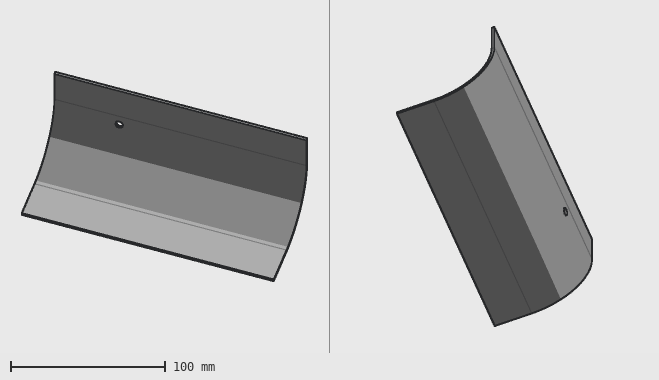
import cadquery as cq
import math

length = 171.93
side = 67.79
half_side = side / 2
left_end_x = -length / 2

thickness = 2.0
inner_radius = 40.0
outer_radius = inner_radius + thickness
flange_width = side - outer_radius

bend_axis_y = half_side - outer_radius
bend_axis_z = -half_side + outer_radius

bend_start = 0
bend_middle = 45
bend_end = 90

hole_diameter = 5.0
hole_from_left_end = 44.5
hole_angle = 11.2


def bend_point(radius, angle):
    """Point (y, z) on the bend at a given radius and bend angle."""
    turn = math.radians(angle)
    return (bend_axis_y + radius * math.cos(turn), bend_axis_z - radius * math.sin(turn))


def section_plane():
    """YZ plane at the left end of the part."""
    return cq.Workplane("YZ", origin=(left_end_x, 0, 0))


def upright_flange():
    """Flat strip rising from the back edge of the bend."""
    lower_inner_corner = bend_point(inner_radius, bend_start)
    return (
        section_plane()
        .moveTo(*lower_inner_corner)
        .rect(thickness, flange_width, centered=False)
        .extrude(length)
    )


def flat_flange():
    """Flat strip running forward from the bottom edge of the bend."""
    return (
        section_plane()
        .moveTo(-half_side, -half_side)
        .rect(flange_width, thickness, centered=False)
        .extrude(length)
    )


def quarter_bend():
    """Quarter-round wall joining the two flanges."""
    return (
        section_plane()
        .moveTo(*bend_point(outer_radius, bend_start))
        .threePointArc(bend_point(outer_radius, bend_middle), bend_point(outer_radius, bend_end))
        .lineTo(*bend_point(inner_radius, bend_end))
        .threePointArc(bend_point(inner_radius, bend_middle), bend_point(inner_radius, bend_start))
        .close()
        .extrude(length)
    )


def radial_hole():
    """Cylinder through the curved wall, pointing straight out from the bend axis."""
    clearance = thickness
    turn = math.radians(hole_angle)
    start_y, start_z = bend_point(inner_radius - clearance, hole_angle)
    start = cq.Vector(left_end_x + hole_from_left_end, start_y, start_z)
    outward = cq.Vector(0, math.cos(turn), -math.sin(turn))
    depth = thickness + 2 * clearance
    return cq.Workplane(obj=cq.Solid.makeCylinder(hole_diameter / 2, depth, start, outward))


result = (
    quarter_bend()
    .cut(radial_hole())
    .union(upright_flange(), clean=False)
    .union(flat_flange(), clean=False)
)